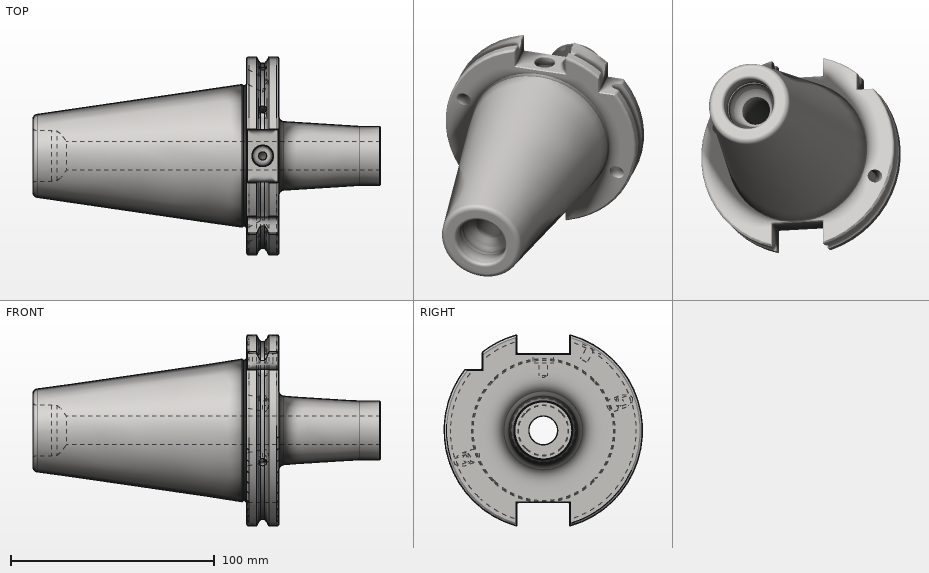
import cadquery as cq
import math

taper_length = 101.75
nose_length = 69.0

gauge_radius = 69.85 / 2
taper_rate = 7 / 48
shank_end_radius = gauge_radius - taper_length * taper_rate
shank_end_fillet = 2.5
taper_end_x = 0.9

relief_radius = 34.5
relief_start_x = 1.7
relief_end_x = 2.3
flange_root_radius = 35.3

flange_radius = 97.5 / 2
flange_back_x = 3.2
flange_front_x = 19.1
flange_width = flange_front_x - flange_back_x
flange_mid_x = (flange_back_x + flange_front_x) / 2
flange_edge_fillet = 1.2

groove_x = 11.1
groove_radius = 91.25 / 2
groove_knee_radius = 46.7
groove_half_width = 3.05
groove_knee_half_width = 2.0
groove_floor_half_width = 1.0

nose_root_radius = 17.0
nose_tip_radius = 14.5
nose_root_fillet = 2.5
nose_cylinder_length = 10.3
nose_tip_chamfer = 0.5

bore_radius = 12.5
bore_mouth_fillet = 1.5
bore_depth = 9.0
step_radius = 12.2
step_depth = 11.8
cone_meeting_radius = 10.5
cone_meeting_depth = 14.0
cone_end_depth = 16.5
through_radius = 7.0

slot_width = 25.7
upper_slot_floor = 37.7
lower_slot_floor = 35.5
notch_offset = 30.0
slot_edge_chamfer = 0.45
slot_corner_fillet = 0.5

pocket_diameter = 10.0
pocket_depth = 4.6
pocket_chamfer = 0.3
pilot_diameter = 4.0
pilot_depth = 6.0
drill_point_angle = 118.0

coolant_angle = 20.0
coolant_circle_radius = 41.7
coolant_diameter = 6.4
coolant_tilt = 30.0
coolant_depth = 14.0
radial_hole_diameter = 3.8
radial_hole_depth = 6.0
index_hole_angle = 60.0

overlap = 1.0


def ring_at(x, radius):
    """Selector for the circular edge of one radius in the plane at x."""
    tolerance = 0.01
    inside = radius - tolerance
    outside = radius + tolerance
    near_x = x - tolerance
    far_x = x + tolerance
    up_to_ring = cq.selectors.BoxSelector(
        (near_x, -outside, -outside), (far_x, outside, outside), boundingbox=True
    )
    within_ring = cq.selectors.BoxSelector(
        (near_x, -inside, -inside), (far_x, inside, inside), boundingbox=True
    )
    return up_to_ring - within_ring


def make_body():
    """Turned outside: shank, relief, flange and nose."""
    nose_taper_end_x = nose_length - nose_cylinder_length
    body = (
        cq.Workplane("XY")
        .moveTo(-taper_length, 0)
        .lineTo(-taper_length, shank_end_radius)
        .lineTo(taper_end_x, gauge_radius + taper_end_x * taper_rate)
        .lineTo(relief_start_x, relief_radius)
        .lineTo(relief_end_x, relief_radius)
        .lineTo(flange_back_x, flange_root_radius)
        .lineTo(flange_back_x, flange_radius)
        .lineTo(groove_x - groove_half_width, flange_radius)
        .lineTo(groove_x - groove_knee_half_width, groove_knee_radius)
        .lineTo(groove_x - groove_floor_half_width, groove_radius)
        .lineTo(groove_x + groove_floor_half_width, groove_radius)
        .lineTo(groove_x + groove_knee_half_width, groove_knee_radius)
        .lineTo(groove_x + groove_half_width, flange_radius)
        .lineTo(flange_front_x, flange_radius)
        .lineTo(flange_front_x, nose_root_radius)
        .lineTo(nose_taper_end_x, nose_tip_radius)
        .lineTo(nose_length, nose_tip_radius)
        .lineTo(nose_length, 0)
        .close()
        .revolve(360, (0, 0, 0), (1, 0, 0))
    )
    body = body.edges(ring_at(-taper_length, shank_end_radius)).fillet(shank_end_fillet)
    for face_x in (flange_back_x, flange_front_x):
        body = body.edges(ring_at(face_x, flange_radius)).fillet(flange_edge_fillet)
    body = body.edges(ring_at(flange_front_x, nose_root_radius)).fillet(nose_root_fillet)
    return body.edges(ring_at(nose_length, nose_tip_radius)).chamfer(nose_tip_chamfer)


def make_bore():
    """Turned inside: pull stud bore, step, bottom cones and through hole."""
    mouth_x = -taper_length
    bore_end_x = mouth_x + bore_depth
    mouth_bend = bore_mouth_fillet * (1 - math.sqrt(0.5))
    return (
        cq.Workplane("XY")
        .moveTo(mouth_x, 0)
        .lineTo(mouth_x, bore_radius + bore_mouth_fillet)
        .threePointArc(
            (mouth_x + mouth_bend, bore_radius + mouth_bend),
            (mouth_x + bore_mouth_fillet, bore_radius),
        )
        .lineTo(bore_end_x, bore_radius)
        .lineTo(bore_end_x, step_radius)
        .lineTo(mouth_x + step_depth, step_radius)
        .lineTo(mouth_x + cone_meeting_depth, cone_meeting_radius)
        .lineTo(mouth_x + cone_end_depth, through_radius)
        .lineTo(nose_length, through_radius)
        .lineTo(nose_length, 0)
        .close()
        .revolve(360, (0, 0, 0), (1, 0, 0))
    )


def slot_cutter(y_center, z_floor, width, height):
    """Slot across the flange, open towards +Z, with rounded corners and chamfered ends."""
    z_center = z_floor + height / 2
    channel = (
        cq.Workplane("XY")
        .box(flange_width + 2 * overlap, width, height)
        .edges("|X and <Z")
        .fillet(slot_corner_fillet)
        .translate((flange_mid_x, y_center, z_center))
    )
    for face_x, direction in ((flange_back_x, 1), (flange_front_x, -1)):
        plane = cq.Plane((face_x, y_center, z_center), (0, 1, 0), (direction, 0, 0))
        chamfered_end = (
            cq.Workplane(plane)
            .rect(width + 2 * slot_edge_chamfer, height + 2 * slot_edge_chamfer)
            .extrude(slot_edge_chamfer, taper=45)
        )
        channel = channel.union(chamfered_end)
    return channel


def rim_chamfer(corner_y, corner_z, wall_y, wall_z, turn):
    """Prism along X that chamfers the edge where a slot wall meets the flange rim.

    The wall runs inward from the corner along (wall_y, wall_z). The rim runs away from the slot
    counterclockwise (turn = 1) or clockwise (turn = -1), with Y to the right and Z up.
    """
    rim_y = -turn * corner_z / flange_radius
    rim_z = turn * corner_y / flange_radius
    size = slot_edge_chamfer
    return (
        cq.Workplane("YZ", origin=(flange_back_x - overlap, 0, 0))
        .moveTo(corner_y + size * wall_y, corner_z + size * wall_z)
        .lineTo(corner_y + size * rim_y, corner_z + size * rim_z)
        .lineTo(corner_y - size * (wall_y + rim_y), corner_z - size * (wall_z + rim_z))
        .close()
        .extrude(flange_width + 2 * overlap)
    )


def driving_slot(z_floor):
    """Centred slot open towards +Z with all its outer edges chamfered."""
    half_width = slot_width / 2
    corner_z = math.sqrt(flange_radius**2 - half_width**2)
    return (
        slot_cutter(0, z_floor, slot_width, flange_radius)
        .union(rim_chamfer(half_width, corner_z, 0, -1, -1))
        .union(rim_chamfer(-half_width, corner_z, 0, -1, 1))
    )


def orientation_notch():
    """Square corner notch at the upper -Y side with all its outer edges chamfered."""
    size = flange_radius
    corner = math.sqrt(flange_radius**2 - notch_offset**2)
    return (
        slot_cutter(-notch_offset - size / 2, notch_offset, size, size)
        .union(rim_chamfer(-notch_offset, corner, 0, -1, -1))
        .union(rim_chamfer(-corner, notch_offset, 1, 0, 1))
    )


def make_slots():
    """Two opposite driving slots of unequal depth and the orientation notch."""
    upper = driving_slot(upper_slot_floor)
    lower = driving_slot(lower_slot_floor).rotate((0, 0, 0), (1, 0, 0), 180)
    return upper.union(lower).union(orientation_notch())


def make_pocket():
    """Flat round pocket with a drilled pilot hole in the upper slot floor."""
    rim_radius = pocket_diameter / 2 + pocket_chamfer
    pilot_radius = pilot_diameter / 2
    pilot_end_z = upper_slot_floor - pocket_depth - pilot_depth
    tip_z = pilot_end_z - pilot_radius / math.tan(math.radians(drill_point_angle / 2))
    return (
        cq.Workplane("XZ")
        .moveTo(0, upper_slot_floor)
        .lineTo(rim_radius, upper_slot_floor)
        .lineTo(pocket_diameter / 2, upper_slot_floor - pocket_chamfer)
        .lineTo(pocket_diameter / 2, upper_slot_floor - pocket_depth)
        .lineTo(pilot_radius, upper_slot_floor - pocket_depth)
        .lineTo(pilot_radius, pilot_end_z)
        .lineTo(0, tip_z)
        .close()
        .revolve(360, (0, 0, 0), (0, 1, 0))
        .translate((groove_x, 0, 0))
    )


def radial_hole(angle):
    """Small hole from the groove floor towards the axis, at an angle from +Y towards +Z."""
    plane = cq.Plane((groove_x, flange_radius, 0), (1, 0, 0), (0, -1, 0))
    depth = flange_radius - groove_radius + radial_hole_depth
    hole = cq.Workplane(plane).circle(radial_hole_diameter / 2).extrude(depth)
    return hole.rotate((0, 0, 0), (1, 0, 0), angle)


def coolant_hole(angle):
    """Slanted hole from the flange back face, leaning towards the axis as it goes in."""
    tilt = math.radians(coolant_tilt)
    direction = cq.Vector(math.cos(tilt), -math.sin(tilt), 0)
    entry = cq.Vector(flange_back_x, coolant_circle_radius, 0)
    start = entry - direction * (coolant_diameter / 2)
    hole = cq.Solid.makeCylinder(coolant_diameter / 2, coolant_depth, start, direction)
    return cq.Workplane(hole).rotate((0, 0, 0), (1, 0, 0), angle)


result = make_body().cut(make_slots()).cut(make_bore()).cut(make_pocket())
for hole_angle in (coolant_angle, coolant_angle + 180):
    result = result.cut(coolant_hole(hole_angle)).cut(radial_hole(hole_angle))
result = result.cut(radial_hole(index_hole_angle))